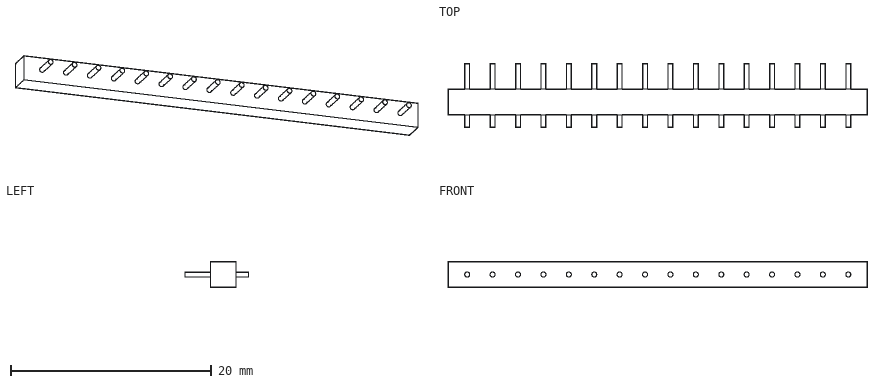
import cadquery as cq

body_length = 41.9
body_side = 2.55

pin_count = 16
pin_row_span = 38.1
pin_pitch = pin_row_span / (pin_count - 1)
pin_diameter = 0.5
front_pin_length = 1.25
back_pin_length = 2.55


def make_body():
    return cq.Workplane("XY").box(body_length, body_side, body_side)


def make_pins():
    """Row of pins, centred on the body in X and Z."""
    front_tip_y = -body_side / 2 - front_pin_length
    total_length = front_pin_length + body_side + back_pin_length
    return (
        cq.Workplane("XZ", origin=(0, front_tip_y, 0))
        .rarray(pin_pitch, 0.4, pin_count, 1)
        .circle(pin_diameter / 2)
        .extrude(-total_length)
    )


result = make_body().union(make_pins())